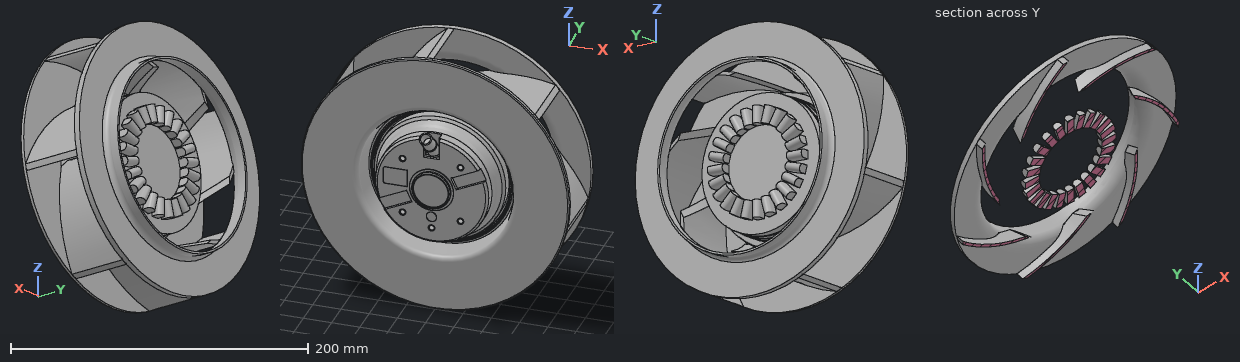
import cadquery as cq
import math

WHEEL_RADIUS = 95.0

DISC_THICKNESS = 3.0
DISC_RIM_CHAMFER_WIDTH = 1.0
DISC_RIM_CHAMFER_HEIGHT = 0.5
FUNNEL_MOUTH_RADIUS = 58.5
FUNNEL_THROAT_RADIUS = 54.5
FUNNEL_THROAT_DEPTH = 3.8
FUNNEL_END_RADIUS = 51.9
FUNNEL_FLOOR_DEPTH = 15.2
FUNNEL_WALL = 1.7
BEAD_INNER_RADIUS = 48.8
BEAD_STEP = 0.8

SHROUD_INNER_Y = 47.3
SHROUD_OUTER_Y = 51.7
COLLAR_END_Y = 62.9
COLLAR_FLARE_Y = 56.6
COLLAR_RADIUS = 68.2
COLLAR_FOOT_RADIUS = 70.9
COLLAR_WALL = 1.5
COLLAR_MOUTH_RADIUS = 77.5

BLADE_TIP_ANGLES = (42.6, 94.0, 143.2, 194.3, 246.9, 297.8, 348.7)
BLADE_THICKNESS = 2.7
BLADE_RADIUS = 94.8
BLADE_MIDDLE = (62.3, 38.8)
BLADE_ROOT = (55.1, 55.5)
BLADE_EDGE_RADIUS = 62.3
BLADE_EDGE_SLOPE = 0.23

ROTOR_RADIUS = 49.4
ROTOR_BORE_RADIUS = 48.0
MOAT_DEPTH = 2.8
ROTOR_STEP = 0.5
ROTOR_STEP_Y = 25.8
ROTOR_END_Y = 38.8
ROTOR_GROOVES_Y = (20.5, 31.0)
ROTOR_GROOVE_WIDTH = 1.0
ROTOR_GROOVE_DEPTH = 1.0
FIN_COUNT = 24
FIN_WIDTH = 6.0
FIN_HEIGHT = 7.6
FIN_INNER_RADIUS = 26.6
FIN_OUTER_RADIUS = 39.0

STATOR_FACE_Y = -7.6
STATOR_RADIUS = 40.0
STATOR_CHAMFER = 1.7
STATOR_SHOULDERS = [(STATOR_RADIUS, 1.0), (41.5, 4.0), (42.5, 5.7), (44.5, 9.5), (46.5, 11.0)]
BOSS_RADIUS = 13.7
BOSS_HEIGHT = 1.7
BOSS_CHAMFER = 0.8
BOSS_RECESS_RADIUS = 12.4
BOSS_RECESS_DEPTH = 0.8
BOSS_GROOVE_RADIUS = 15.5
BOSS_GROOVE_DEPTH = 0.5

SCREW_OFFSET = 20.5
LOWER_SCREW_Z = -29.0
SCREW_HOLE_RADIUS = 1.7
SCREW_RIM_RADIUS = 2.3
SCREW_RIM_DEPTH = 0.5
SCREW_HOLE_DEPTH = 5.7
EARTH_MARK_RADIUS = 3.6
MARK_DEPTH = 0.4
LABEL_LEFT = -34.2
LABEL_RIGHT = -17.1
LABEL_BOTTOM = -0.4
LABEL_TOP = 12.2
LABEL_CORNER_RADIUS = 1.5
CUT_OVERRUN = 1.9
SLOT_ANGLE = 25.0
SLOT_START = 17.3
SLOT_WIDTH = 9.1
SLOT_DEPTH = 2.5

POCKET_WIDTH = 11.4
POCKET_BOTTOM_Z = 24.3
POCKET_DEPTH = 6.8
POCKET_LEDGE_DEPTH = 1.9
POCKET_LEDGE_SIDE = 0.8
POCKET_LEDGE_BOTTOM = 1.3
TUBE_END_Y = -20.1
TUBE_END_Z = 45.6
TUBE_LENGTH = 28.5
TUBE_RADIUS = 4.4
TUBE_BORE_RADIUS = 3.5
TUBE_BORE_DEPTH = 9.5
TUBE_RING_RADIUS = 4.8
TUBE_RING_WIDTH = 1.1
TUBE_RING_DISTANCE = 12.7


def spin(profile):
    """Revolve a closed (radius, y) profile about the Y axis."""
    return profile.close().revolve(360, (0, 0, 0), (0, 1, 0))


def cylinder(radius, start_y, end_y, x=0.0, z=0.0):
    """Solid cylinder along +Y."""
    plane = cq.Workplane("XZ", origin=(0, start_y, 0))
    return plane.center(x, z).circle(radius).extrude(start_y - end_y)


def polar(radius, angle):
    """Point in the XZ plane from a radius and an angle in degrees."""
    turn = math.radians(angle)
    return (radius * math.cos(turn), radius * math.sin(turn))


def rounded_middle(inner_radius, outer_radius, corner_y, far_y):
    """Middle of a rounded quarter from (inner_radius, far_y) to (outer_radius, corner_y)."""
    inset = 1 - math.sqrt(0.5)
    return (
        inner_radius + inset * (outer_radius - inner_radius),
        corner_y + inset * (far_y - corner_y),
    )


def front_disc():
    throat_bulge = rounded_middle(FUNNEL_THROAT_RADIUS, FUNNEL_MOUTH_RADIUS, 0, FUNNEL_THROAT_DEPTH)
    floor_back = FUNNEL_FLOOR_DEPTH + FUNNEL_WALL
    return spin(
        cq.Workplane("XY")
        .moveTo(FUNNEL_MOUTH_RADIUS, 0)
        .lineTo(WHEEL_RADIUS - DISC_RIM_CHAMFER_WIDTH, 0)
        .lineTo(WHEEL_RADIUS, DISC_RIM_CHAMFER_HEIGHT)
        .lineTo(WHEEL_RADIUS, DISC_THICKNESS)
        .lineTo(FUNNEL_THROAT_RADIUS + FUNNEL_WALL, DISC_THICKNESS)
        .lineTo(FUNNEL_END_RADIUS + FUNNEL_WALL, FUNNEL_FLOOR_DEPTH)
        .lineTo(FUNNEL_END_RADIUS + FUNNEL_WALL, floor_back)
        .lineTo(ROTOR_BORE_RADIUS, floor_back)
        .lineTo(ROTOR_BORE_RADIUS, FUNNEL_FLOOR_DEPTH)
        .lineTo(BEAD_INNER_RADIUS, FUNNEL_FLOOR_DEPTH)
        .lineTo(BEAD_INNER_RADIUS, FUNNEL_FLOOR_DEPTH - 2 * BEAD_STEP)
        .lineTo(BEAD_INNER_RADIUS + BEAD_STEP, FUNNEL_FLOOR_DEPTH - 2 * BEAD_STEP)
        .lineTo(BEAD_INNER_RADIUS + BEAD_STEP, FUNNEL_FLOOR_DEPTH - BEAD_STEP)
        .lineTo(BEAD_INNER_RADIUS + 2 * BEAD_STEP, FUNNEL_FLOOR_DEPTH - BEAD_STEP)
        .lineTo(BEAD_INNER_RADIUS + 2 * BEAD_STEP, FUNNEL_FLOOR_DEPTH)
        .lineTo(FUNNEL_END_RADIUS, FUNNEL_FLOOR_DEPTH)
        .lineTo(FUNNEL_THROAT_RADIUS, FUNNEL_THROAT_DEPTH)
        .threePointArc(throat_bulge, (FUNNEL_MOUTH_RADIUS, 0))
    )


def shroud():
    bore = COLLAR_RADIUS - COLLAR_WALL
    flare_middle = rounded_middle(COLLAR_RADIUS, COLLAR_FOOT_RADIUS, SHROUD_OUTER_Y, COLLAR_FLARE_Y)
    lip_middle = rounded_middle(bore, COLLAR_MOUTH_RADIUS, SHROUD_INNER_Y, COLLAR_FLARE_Y)
    return spin(
        cq.Workplane("XY")
        .moveTo(COLLAR_MOUTH_RADIUS, SHROUD_INNER_Y)
        .lineTo(WHEEL_RADIUS, SHROUD_INNER_Y)
        .lineTo(WHEEL_RADIUS, SHROUD_OUTER_Y)
        .lineTo(COLLAR_FOOT_RADIUS, SHROUD_OUTER_Y)
        .threePointArc(flare_middle, (COLLAR_RADIUS, COLLAR_FLARE_Y))
        .lineTo(COLLAR_RADIUS, COLLAR_END_Y)
        .lineTo(bore, COLLAR_END_Y)
        .lineTo(bore, COLLAR_FLARE_Y)
        .threePointArc(lip_middle, (COLLAR_MOUTH_RADIUS, SHROUD_INNER_Y))
    )


def arc_centre(first, second, third):
    """Centre of the circle through three points."""
    (ax, ay), (bx, by), (cx, cy) = first, second, third
    a2, b2, c2 = ax * ax + ay * ay, bx * bx + by * by, cx * cx + cy * cy
    scale = 2 * (ax * (by - cy) + bx * (cy - ay) + cx * (ay - by))
    x = (a2 * (by - cy) + b2 * (cy - ay) + c2 * (ay - by)) / scale
    y = (a2 * (cx - bx) + b2 * (ax - cx) + c2 * (bx - ax)) / scale
    return (x, y)


def blades():
    """Seven curved blades, each first shaped with its tip on the X axis."""
    tip = polar(BLADE_RADIUS, 0)
    middle = polar(BLADE_MIDDLE[0], BLADE_MIDDLE[1])
    root = polar(BLADE_ROOT[0], BLADE_ROOT[1])
    centre = arc_centre(tip, middle, root)
    bend_radius = math.dist(centre, tip)
    end_y = SHROUD_OUTER_Y

    def bend_cylinder(radius):
        return cylinder(radius, DISC_THICKNESS, end_y, *centre)

    bend = bend_cylinder(bend_radius).cut(bend_cylinder(bend_radius - BLADE_THICKNESS))
    tip_angle = math.degrees(math.atan2(tip[1] - centre[1], tip[0] - centre[0]))
    root_angle = math.degrees(math.atan2(root[1] - centre[1], root[0] - centre[0]))
    past_tip = 5.0
    reach = 2 * bend_radius
    ends = [polar(reach, tip_angle - past_tip), polar(reach, root_angle)]
    wedge = (
        cq.Workplane("XZ", origin=(0, DISC_THICKNESS, 0))
        .polyline([centre] + [(centre[0] + x, centre[1] + z) for x, z in ends])
        .close()
        .extrude(DISC_THICKNESS - end_y)
    )
    hub_edge_radius = BLADE_EDGE_RADIUS - BLADE_EDGE_SLOPE * SHROUD_INNER_Y
    eye = spin(
        cq.Workplane("XY")
        .moveTo(0, 0)
        .lineTo(hub_edge_radius, 0)
        .lineTo(hub_edge_radius + BLADE_EDGE_SLOPE * end_y, end_y)
        .lineTo(0, end_y)
    )
    funnel_inside = spin(
        cq.Workplane("XY")
        .moveTo(0, 0)
        .lineTo(FUNNEL_MOUTH_RADIUS - FUNNEL_WALL, 0)
        .lineTo(FUNNEL_END_RADIUS + FUNNEL_WALL / 2, FUNNEL_FLOOR_DEPTH)
        .lineTo(0, FUNNEL_FLOOR_DEPTH)
    )
    blade = bend.intersect(wedge)
    blade = blade.intersect(cylinder(BLADE_RADIUS, DISC_THICKNESS, end_y))
    blade = blade.cut(eye).cut(funnel_inside)
    ring = cq.Workplane("XY")
    for angle in BLADE_TIP_ANGLES:
        ring = ring.add(blade.rotate((0, 0, 0), (0, 1, 0), -angle))
    return ring


def rotor():
    body = cylinder(ROTOR_RADIUS, FUNNEL_FLOOR_DEPTH, ROTOR_STEP_Y)
    body = body.union(cylinder(ROTOR_RADIUS - ROTOR_STEP, ROTOR_STEP_Y, ROTOR_END_Y))
    for middle_y in ROTOR_GROOVES_Y:
        start_y = middle_y - ROTOR_GROOVE_WIDTH / 2
        end_y = middle_y + ROTOR_GROOVE_WIDTH / 2
        core = cylinder(ROTOR_RADIUS - ROTOR_GROOVE_DEPTH, start_y, end_y)
        body = body.cut(cylinder(ROTOR_RADIUS, start_y, end_y).cut(core))
    moat_end_y = FUNNEL_FLOOR_DEPTH + MOAT_DEPTH
    moat = cylinder(ROTOR_BORE_RADIUS, FUNNEL_FLOOR_DEPTH, moat_end_y)
    moat = moat.cut(cylinder(STATOR_SHOULDERS[-1][0], FUNNEL_FLOOR_DEPTH, moat_end_y))
    body = body.cut(moat)
    shoulder_y = ROTOR_END_Y + FIN_HEIGHT - FIN_WIDTH / 2
    fin = (
        cq.Workplane("XY", origin=(0, 0, FIN_INNER_RADIUS))
        .moveTo(-FIN_WIDTH / 2, ROTOR_END_Y)
        .lineTo(FIN_WIDTH / 2, ROTOR_END_Y)
        .lineTo(FIN_WIDTH / 2, shoulder_y)
        .threePointArc((0, ROTOR_END_Y + FIN_HEIGHT), (-FIN_WIDTH / 2, shoulder_y))
        .close()
        .extrude(FIN_OUTER_RADIUS - FIN_INNER_RADIUS)
    )
    for index in range(FIN_COUNT):
        body = body.union(fin.rotate((0, 0, 0), (0, 1, 0), index * 360 / FIN_COUNT))
    return body


def stator():
    """Flanged body that widens in steps towards the rotor, with a raised centre boss."""
    body = spin(
        cq.Workplane("XY")
        .moveTo(0, STATOR_FACE_Y)
        .lineTo(STATOR_RADIUS - STATOR_CHAMFER, STATOR_FACE_Y)
        .lineTo(STATOR_RADIUS, STATOR_FACE_Y + STATOR_CHAMFER)
        .polyline(STATOR_SHOULDERS, includeCurrent=True)
        .lineTo(STATOR_SHOULDERS[-1][0], FUNNEL_FLOOR_DEPTH)
        .lineTo(0, FUNNEL_FLOOR_DEPTH)
    )
    groove_floor = STATOR_FACE_Y + BOSS_GROOVE_DEPTH
    boss_top = STATOR_FACE_Y - BOSS_HEIGHT
    body = body.cut(cylinder(BOSS_GROOVE_RADIUS, STATOR_FACE_Y, groove_floor))
    boss = cylinder(BOSS_RADIUS, boss_top, groove_floor).faces("<Y").chamfer(BOSS_CHAMFER)
    boss = boss.cut(cylinder(BOSS_RECESS_RADIUS, boss_top, boss_top + BOSS_RECESS_DEPTH))
    return body.union(boss)


def screw_holes():
    places = [(x, z) for x in (-SCREW_OFFSET, SCREW_OFFSET) for z in (-SCREW_OFFSET, SCREW_OFFSET)]
    places.append((0, LOWER_SCREW_Z))
    holes = cq.Workplane("XY")
    for x, z in places:
        rim = cylinder(SCREW_RIM_RADIUS, STATOR_FACE_Y, STATOR_FACE_Y + SCREW_RIM_DEPTH, x, z)
        hole = cylinder(SCREW_HOLE_RADIUS, STATOR_FACE_Y, STATOR_FACE_Y + SCREW_HOLE_DEPTH, x, z)
        holes = holes.add(rim.union(hole))
    return holes


def face_box(left, right, bottom, top, depth):
    """Box sunk into the stator face, given by its X and Z limits."""
    plane = cq.Workplane("XZ", origin=(0, STATOR_FACE_Y, 0))
    outline = plane.center((left + right) / 2, (bottom + top) / 2).rect(right - left, top - bottom)
    return outline.extrude(-depth)


def face_slots():
    half_width = SLOT_WIDTH / 2
    slot = face_box(SLOT_START, STATOR_RADIUS + CUT_OVERRUN, -half_width, half_width, SLOT_DEPTH)
    slots = cq.Workplane("XY")
    for angle in (SLOT_ANGLE, SLOT_ANGLE + 180):
        slots = slots.add(slot.rotate((0, 0, 0), (0, 1, 0), -angle))
    return slots


def label_recess():
    recess = face_box(LABEL_LEFT, LABEL_RIGHT, LABEL_BOTTOM, LABEL_TOP, MARK_DEPTH)
    return recess.edges("|Y and <X").fillet(LABEL_CORNER_RADIUS)


def cable_pocket():
    """Pocket open through the rim, stepped in to a narrower deep part."""
    half_width = POCKET_WIDTH / 2
    top = STATOR_RADIUS + CUT_OVERRUN
    shallow = face_box(-half_width, half_width, POCKET_BOTTOM_Z, top, POCKET_LEDGE_DEPTH)
    deep_half_width = half_width - POCKET_LEDGE_SIDE
    deep_bottom = POCKET_BOTTOM_Z + POCKET_LEDGE_BOTTOM
    return shallow.union(face_box(-deep_half_width, deep_half_width, deep_bottom, top, POCKET_DEPTH))


def cable_tube():
    outward = cq.Vector(0, -1, 1).normalized()
    end = cq.Vector(0, TUBE_END_Y, TUBE_END_Z)

    def tube_piece(radius, distance, length):
        """Cylinder that starts at a distance below the open end and runs inwards."""
        return cq.Workplane(cq.Solid.makeCylinder(radius, length, end - outward * distance, outward * -1))

    tube = tube_piece(TUBE_RADIUS, 0, TUBE_LENGTH)
    tube = tube.union(tube_piece(TUBE_RING_RADIUS, TUBE_RING_DISTANCE, TUBE_RING_WIDTH))
    return tube.cut(tube_piece(TUBE_BORE_RADIUS, 0, TUBE_BORE_DEPTH))


motor = stator()
motor = motor.cut(screw_holes())
motor = motor.cut(face_slots())
motor = motor.cut(label_recess())
motor = motor.cut(cylinder(EARTH_MARK_RADIUS, STATOR_FACE_Y, STATOR_FACE_Y + MARK_DEPTH, 0, -SCREW_OFFSET))
motor = motor.cut(cable_pocket()).union(cable_tube()).union(rotor())
result = front_disc().union(shroud()).union(blades()).union(motor)